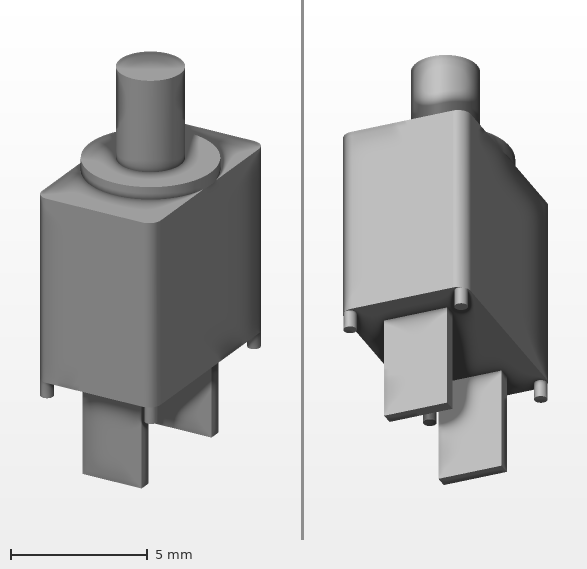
import cadquery as cq

total_height = 15.64
terminal_length = 4.0
housing_height = 7.45
flange_height = 0.5
plunger_height = total_height - terminal_length - housing_height - flange_height

housing_width = 5.04
housing_depth = 8.13
corner_radius = 0.5

flange_diameter = 5.11
plunger_diameter = 2.53

terminal_width = 2.5
terminal_thickness = 0.5
terminal_pitch = 5.08

peg_diameter = 0.5
peg_length = 0.67
peg_pitch_x = 4.41
peg_pitch_y = 7.48


def make_housing():
    """Rectangular block with rounded vertical edges."""
    block = cq.Workplane("XY").box(
        housing_width, housing_depth, housing_height, centered=(True, True, False)
    )
    return block.edges("|Z").fillet(corner_radius)


def make_button():
    """Flange on top of the housing with the plunger above it."""
    flange = (
        cq.Workplane("XY")
        .workplane(offset=housing_height)
        .circle(flange_diameter / 2)
        .extrude(flange_height)
    )
    return flange.faces(">Z").workplane().circle(plunger_diameter / 2).extrude(plunger_height)


def make_terminals():
    """Two flat blades hanging below the housing."""
    return (
        cq.Workplane("XY")
        .rarray(0.15, terminal_pitch, 1, 2)
        .rect(terminal_width, terminal_thickness)
        .extrude(-terminal_length)
    )


def make_pegs():
    """Four short round standoffs, one at each corner."""
    return (
        cq.Workplane("XY")
        .rarray(peg_pitch_x, peg_pitch_y, 2, 2)
        .circle(peg_diameter / 2)
        .extrude(-peg_length)
    )


result = make_housing().union(make_button()).union(make_terminals()).union(make_pegs())